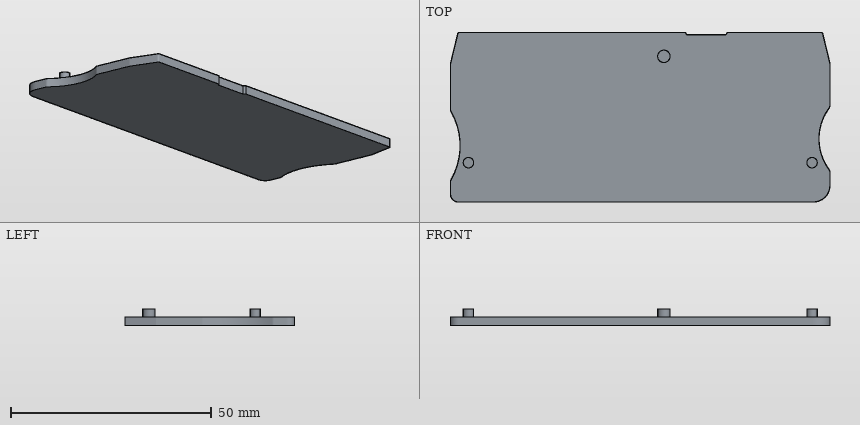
import cadquery as cq
import math

LENGTH = 94.8
WIDTH = 42.4
TOTAL_HEIGHT = 4.2
PIN_HEIGHT = 2.0
THICKNESS = TOTAL_HEIGHT - PIN_HEIGHT

HALF_LENGTH = LENGTH / 2
BACK = WIDTH / 2
FRONT = -WIDTH / 2

TAPER_RUN = 1.9
TAPER_LENGTH = 7.8
BACK_CORNER_RADIUS = 0.5

LEFT_CORNER_RADIUS = 2.0
RIGHT_CORNER_RADIUS = 4.2

LEFT_RECESS_Y = FRONT + 14.1
LEFT_RECESS_DEPTH = 2.4
LEFT_RECESS_RADIUS = 17.0
RIGHT_RECESS_Y = FRONT + 15.8
RIGHT_RECESS_DEPTH = 2.75
RIGHT_RECESS_RADIUS = 13.0
RECESS_EDGE_RADIUS = 1.0

NOTCH_X = 16.5
NOTCH_LENGTH = 10.5
NOTCH_DEPTH = 0.6
NOTCH_SLOPE_RUN = 0.4

END_PIN_DIAMETER = 2.6
END_PIN_X = 42.9
END_PIN_Y = FRONT + 9.85
BACK_PIN_DIAMETER = 3.1
BACK_PIN_X = 5.9
BACK_PIN_Y = FRONT + 36.4


def make_blank():
    """Plate with tapered flanks and rounded corners."""
    taper_start = BACK - TAPER_LENGTH
    back_corner_x = HALF_LENGTH - TAPER_RUN
    blank = (
        cq.Workplane("XY")
        .moveTo(-HALF_LENGTH, FRONT)
        .lineTo(HALF_LENGTH, FRONT)
        .lineTo(HALF_LENGTH, taper_start)
        .lineTo(back_corner_x, BACK)
        .lineTo(-back_corner_x, BACK)
        .lineTo(-HALF_LENGTH, taper_start)
        .close()
        .extrude(THICKNESS)
    )
    blank = blank.edges("|Z and >Y").fillet(BACK_CORNER_RADIUS)
    blank = blank.edges("|Z and <Y and <X").fillet(LEFT_CORNER_RADIUS)
    return blank.edges("|Z and <Y and >X").fillet(RIGHT_CORNER_RADIUS)


def cut_recess(plate, side, y, depth, radius):
    """Cut an arc into the end at side (-1 left, +1 right) and soften its two edges."""
    axis_offset = radius - depth
    cutter = (
        cq.Workplane("XY")
        .center(side * (HALF_LENGTH + axis_offset), y)
        .circle(radius)
        .extrude(THICKNESS)
    )
    half_opening = math.sqrt(radius**2 - axis_offset**2)
    plate = plate.cut(cutter)
    for direction in (-1, 1):
        corner = (side * HALF_LENGTH, y + direction * half_opening, THICKNESS / 2)
        plate = plate.edges(cq.selectors.NearestToPointSelector(corner)).fillet(RECESS_EDGE_RADIUS)
    return plate


def cut_notch(plate):
    """Cut the trapezoidal notch into the back edge."""
    half_opening = NOTCH_LENGTH / 2
    half_floor = half_opening - NOTCH_SLOPE_RUN
    floor_y = BACK - NOTCH_DEPTH
    cutter = (
        cq.Workplane("XY")
        .moveTo(NOTCH_X - half_opening, BACK)
        .lineTo(NOTCH_X - half_floor, floor_y)
        .lineTo(NOTCH_X + half_floor, floor_y)
        .lineTo(NOTCH_X + half_opening, BACK)
        .close()
        .extrude(THICKNESS)
    )
    return plate.cut(cutter)


def add_pins(plate, positions, diameter):
    """Add round pins that run from the underside up to the full height."""
    pins = cq.Workplane("XY").pushPoints(positions).circle(diameter / 2).extrude(TOTAL_HEIGHT)
    return plate.union(pins)


result = make_blank()
result = cut_recess(result, -1, LEFT_RECESS_Y, LEFT_RECESS_DEPTH, LEFT_RECESS_RADIUS)
result = cut_recess(result, 1, RIGHT_RECESS_Y, RIGHT_RECESS_DEPTH, RIGHT_RECESS_RADIUS)
result = cut_notch(result)
result = add_pins(result, [(-END_PIN_X, END_PIN_Y), (END_PIN_X, END_PIN_Y)], END_PIN_DIAMETER)
result = add_pins(result, [(BACK_PIN_X, BACK_PIN_Y)], BACK_PIN_DIAMETER)